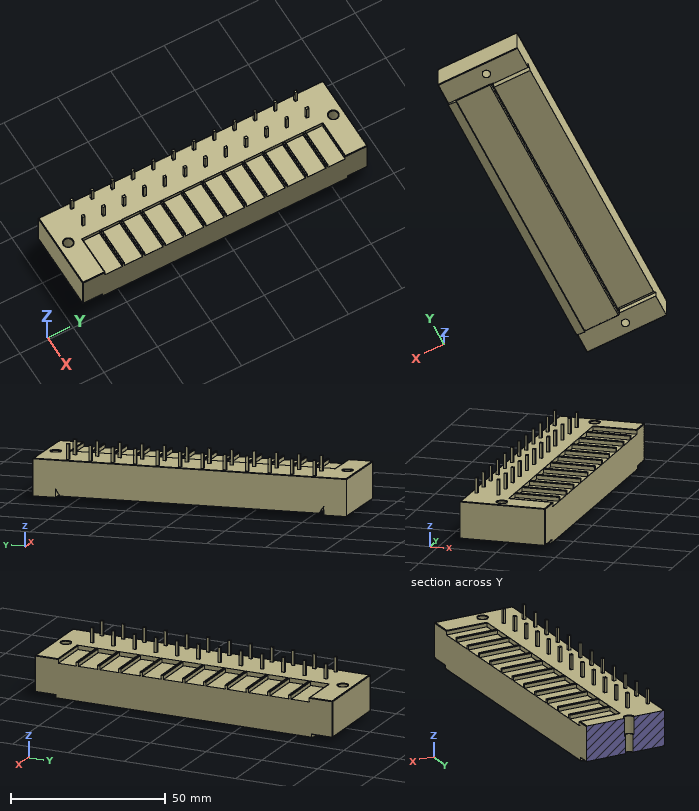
import cadquery as cq

LENGTH = 106.7
WIDTH = 29.0
HEIGHT = 12.6
EDGE_BREAK = 0.2

POLE_COUNT = 12
POLE_PITCH = 7.62
PIN_ROW_X = (2.0, 9.5)
PIN_WIDTH = 0.9
PIN_DEPTH = 1.0
PIN_LENGTH = 5.1

PANEL_START_X = 14.1
PANEL_DEPTH = 1.5
PANEL_FIELD_LENGTH = 89.8
RIB_WIDTH = 0.9
RIB_BREAK = 0.2

HOLE_X = 13.1
HOLE_Y = 49.6
HOLE_DIAMETER = 2.7
COUNTERBORE_DIAMETER = 3.3
COUNTERBORE_DEPTH = HEIGHT / 2

STRIP_START_X = 13.4
STRIP_LENGTH = 91.7
STRIP_THICKNESS = 0.7
STRIP_END_SLOPE = 0.3
HOOK_START_X = 26.0
HOOK_DEPTH = 1.6
HOOK_TIP_DEPTH = 1.0

CHANNEL_LENGTH = 91.1
CHANNEL_DEPTH = 0.5
CORNER_DEPTH = 2.9
CORNER_WIDTH = 1.5
CHANNEL_END_BEVEL = 0.3


def centred_block(start_x, end_x, size_y, bottom_z, top_z):
    """Block between two X and two Z levels, centred on Y = 0."""
    block = cq.Workplane("XY").box(end_x - start_x, size_y, top_z - bottom_z, centered=(False, True, False))
    return block.translate((start_x, 0, bottom_z))


def make_housing():
    """Block with broken edges, except the vertical and bottom edges of the flat side."""
    housing = centred_block(0, WIDTH, LENGTH, 0, HEIGHT)
    return housing.edges(">Z or >X or (<Z and |X)").chamfer(EDGE_BREAK)


def make_panel_pocket():
    """Pocket open at +X, with bevelled rims at its two ends."""
    half = PANEL_FIELD_LENGTH / 2
    floor_z = HEIGHT - PANEL_DEPTH
    bevel_z = HEIGHT - EDGE_BREAK
    outline = [
        (-half, floor_z),
        (half, floor_z),
        (half, bevel_z),
        (half + EDGE_BREAK, HEIGHT),
        (-half - EDGE_BREAK, HEIGHT),
        (-half, bevel_z),
    ]
    pocket = cq.Workplane("YZ").polyline(outline).close().extrude(WIDTH - PANEL_START_X)
    return pocket.translate((PANEL_START_X, 0, 0))


def make_panel_body():
    """Body that fills the panel field out to the full width, up to the panel floor."""
    floor_z = HEIGHT - PANEL_DEPTH
    return centred_block(PANEL_START_X, WIDTH, PANEL_FIELD_LENGTH, EDGE_BREAK, floor_z)


def make_rib(y):
    """Rib flush with the top of the block, with bevelled top edges."""
    rib = centred_block(PANEL_START_X, WIDTH, RIB_WIDTH, HEIGHT - PANEL_DEPTH, HEIGHT)
    rib = rib.edges(">Z and (|X or >X)").chamfer(RIB_BREAK)
    return rib.translate((0, y, 0))


def make_screw_hole(y):
    """Counterbored through hole with a bevelled rim."""
    hole = cq.Workplane("XY").circle(HOLE_DIAMETER / 2).extrude(HEIGHT)
    counterbore = cq.Workplane("XY").workplane(offset=HEIGHT - COUNTERBORE_DEPTH)
    counterbore = counterbore.circle(COUNTERBORE_DIAMETER / 2).extrude(COUNTERBORE_DEPTH)
    rim_bevel = cq.Workplane("XY").workplane(offset=HEIGHT - EDGE_BREAK).circle(COUNTERBORE_DIAMETER / 2)
    rim_bevel = rim_bevel.workplane(offset=EDGE_BREAK).circle(COUNTERBORE_DIAMETER / 2 + EDGE_BREAK).loft()
    hole = hole.union(counterbore).union(rim_bevel)
    return hole.translate((HOLE_X, y, 0))


def make_pin(x, y):
    """Rectangular contact pin standing on the top face."""
    pin = cq.Workplane("XY").rect(PIN_WIDTH, PIN_DEPTH).extrude(PIN_LENGTH)
    return pin.translate((x, y, HEIGHT))


def make_strip():
    """Thin strip with a sloped inner end and a hook along the +X side."""
    outline = [
        (STRIP_START_X, 0),
        (STRIP_START_X + STRIP_END_SLOPE, -STRIP_THICKNESS),
        (HOOK_START_X, -STRIP_THICKNESS),
        (HOOK_START_X, -HOOK_DEPTH),
        (WIDTH, -HOOK_TIP_DEPTH),
        (WIDTH, EDGE_BREAK),
        (STRIP_START_X, EDGE_BREAK),
    ]
    return cq.Workplane("XZ").polyline(outline).close().extrude(STRIP_LENGTH / 2, both=True)


def make_channel():
    """Channel under the block that runs in from the flat side to the strip."""
    half = CHANNEL_LENGTH / 2
    outline = [
        (-half, 0),
        (-half, CORNER_DEPTH),
        (-half + CORNER_WIDTH, CHANNEL_DEPTH),
        (half - CORNER_WIDTH, CHANNEL_DEPTH),
        (half, CORNER_DEPTH),
        (half, 0),
    ]
    channel = cq.Workplane("YZ").polyline(outline).close().extrude(STRIP_START_X)
    end_wall_outline = [
        (STRIP_START_X, 0),
        (STRIP_START_X - CHANNEL_END_BEVEL, CHANNEL_END_BEVEL),
        (STRIP_START_X - CHANNEL_END_BEVEL, CORNER_DEPTH),
        (STRIP_START_X, CORNER_DEPTH),
    ]
    end_wall = cq.Workplane("XZ").polyline(end_wall_outline).close().extrude(half, both=True)
    channel = channel.cut(end_wall)
    return channel


result = make_housing().cut(make_panel_pocket()).cut(make_channel())
result = result.union(make_panel_body()).union(make_strip())

for rib_index in range(POLE_COUNT - 1):
    rib_y = (rib_index - (POLE_COUNT - 2) / 2) * POLE_PITCH
    result = result.union(make_rib(rib_y))

for pole_index in range(POLE_COUNT):
    pole_y = (pole_index - (POLE_COUNT - 1) / 2) * POLE_PITCH
    for row_x in PIN_ROW_X:
        result = result.union(make_pin(row_x, pole_y))

for hole_y in (-HOLE_Y, HOLE_Y):
    result = result.cut(make_screw_hole(hole_y))